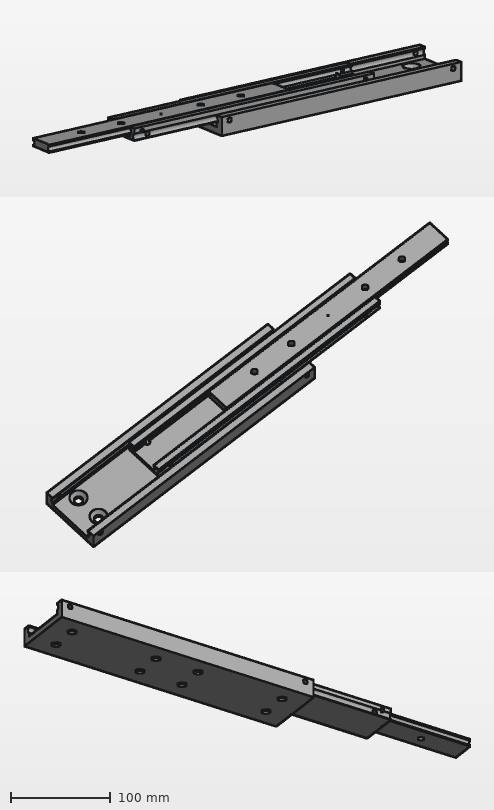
import cadquery as cq

rail_length = 300.0
stroke = 100.0
outer_center_y = 100.0
middle_center_y = outer_center_y - stroke
inner_center_y = middle_center_y - stroke

outer_width = 70.0
outer_height = 20.0
outer_floor = 7.5
outer_opening = 52.5

middle_width = 44.5
middle_bottom = 11.0
middle_floor = 14.0
middle_opening = 29.5
rail_top = 24.0

inner_width = 27.0
inner_bottom = 15.5

outer_track_x = (outer_opening + middle_width) / 4
outer_track_z = 15.0
outer_track_diameter = 8.0
inner_track_x = (middle_opening + inner_width) / 4
inner_track_z = 19.5
inner_track_diameter = 5.5

mount_hole_x = 15.0
mount_hole_diameter = 9.0
countersink_diameter = 18.0
countersink_angle = 90.0
mount_hole_offsets = (-125.0, -25.0, 25.0, 125.0)

bar_hole_diameter = 6.5
bar_hole_offsets = (-100.0, -50.0, 50.0, 100.0)
center_hole_diameter = 1.0

outer_stop_diameter = 5.0
middle_stop_diameter = 4.0
blind_stop_diameter = 5.0
outer_stop_inset = 10.0
middle_stop_inset = 10.0
blind_stop_inset = 18.0
blind_stop_depth = 9.5
drill_tip_length = 1.5


def block(width, bottom, top, center_y):
    """A rail-long block, centred on X = 0."""
    height = top - bottom
    return cq.Workplane("XY").box(width, rail_length, height).translate((0, center_y, (bottom + top) / 2))


def track_pair(x, z, diameter, center_y):
    """Two round bars along Y that cut the ball tracks at +X and -X."""
    return (
        cq.Workplane("XZ", origin=(0, center_y, z))
        .pushPoints([(-x, 0), (x, 0)])
        .circle(diameter / 2)
        .extrude(rail_length / 2, both=True)
    )


def cross_holes(center_y, inset, z, diameter, span):
    """Bars along X, one near each end of a rail, that cut holes through both side walls."""
    offset = rail_length / 2 - inset
    return (
        cq.Workplane("YZ", origin=(0, center_y, z))
        .pushPoints([(-offset, 0), (offset, 0)])
        .circle(diameter / 2)
        .extrude(span / 2, both=True)
    )


def vertical_holes(offsets, diameter, center_y):
    """Upright bars on X = 0 that cut holes down through a rail."""
    return (
        cq.Workplane("XY", origin=(0, center_y, 0))
        .pushPoints([(0, offset) for offset in offsets])
        .circle(diameter / 2)
        .extrude(rail_top)
    )


def blind_stop_holes():
    """Drill shapes with pointed tips, entering the middle rail from both sides near each end."""
    radius = blind_stop_diameter / 2
    entry_x = middle_width / 2
    shoulder_x = entry_x - blind_stop_depth
    drill = (
        cq.Workplane("XY")
        .polyline([(entry_x, 0), (entry_x, radius), (shoulder_x, radius), (shoulder_x - drill_tip_length, 0)])
        .close()
        .revolve(360, (0, 0, 0), (1, 0, 0))
    )
    drills = cq.Workplane("XY")
    offset = rail_length / 2 - blind_stop_inset
    for side_drill in (drill, drill.mirror("YZ")):
        for y in (middle_center_y - offset, middle_center_y + offset):
            drills = drills.add(side_drill.translate((0, y, outer_track_z)))
    return drills.combine()


def make_outer_rail():
    rail = block(outer_width, 0, outer_height, outer_center_y)
    rail = rail.cut(block(outer_opening, outer_floor, outer_height, outer_center_y))
    rail = rail.cut(track_pair(outer_track_x, outer_track_z, outer_track_diameter, outer_center_y))
    stop_holes = cross_holes(outer_center_y, outer_stop_inset, outer_track_z, outer_stop_diameter, outer_width)
    rail = rail.cut(stop_holes)
    hole_points = [(x, y) for x in (-mount_hole_x, mount_hole_x) for y in mount_hole_offsets]
    return (
        rail.copyWorkplane(cq.Workplane("XY", origin=(0, outer_center_y, outer_floor)))
        .pushPoints(hole_points)
        .cskHole(mount_hole_diameter, countersink_diameter, countersink_angle, outer_floor)
    )


def make_middle_rail():
    rail = block(middle_width, middle_bottom, rail_top, middle_center_y)
    rail = rail.cut(block(middle_opening, middle_floor, rail_top, middle_center_y))
    rail = rail.cut(track_pair(outer_track_x, outer_track_z, outer_track_diameter, middle_center_y))
    rail = rail.cut(track_pair(inner_track_x, inner_track_z, inner_track_diameter, middle_center_y))
    stop_holes = cross_holes(middle_center_y, middle_stop_inset, inner_track_z, middle_stop_diameter, middle_width)
    rail = rail.cut(stop_holes)
    rail = rail.cut(blind_stop_holes())
    return rail.cut(vertical_holes([0], center_hole_diameter, middle_center_y))


def make_inner_rail():
    rail = block(inner_width, inner_bottom, rail_top, inner_center_y)
    rail = rail.cut(track_pair(inner_track_x, inner_track_z, inner_track_diameter, inner_center_y))
    rail = rail.cut(vertical_holes(bar_hole_offsets, bar_hole_diameter, inner_center_y))
    return rail.cut(vertical_holes([0], center_hole_diameter, inner_center_y))


outer_rail = make_outer_rail()
middle_rail = make_middle_rail()
inner_rail = make_inner_rail()
result = cq.Compound.makeCompound([outer_rail.val(), middle_rail.val(), inner_rail.val()])